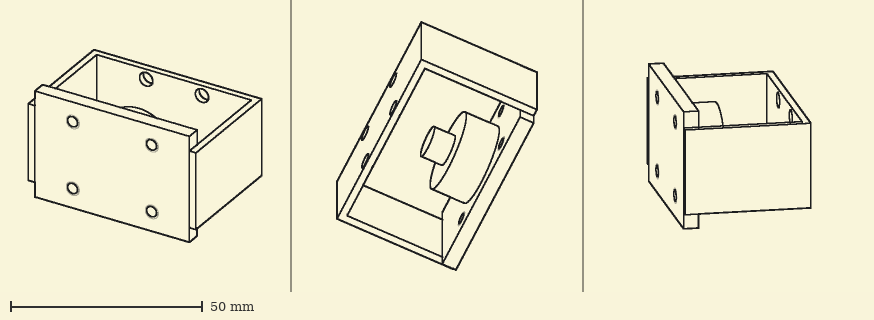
import cadquery as cq

frame_length = 51.0
frame_depth = 33.5
frame_height = 23.0
wall = 2.0
plate_height = 31.75
plate_thickness = 4.0
plate_length = frame_length - 2 * wall

rear_hole_diameter = 4.0
rear_hole_spacing = 17.0

plate_hole_spacing_x = 24.0
plate_hole_spacing_z = 20.0
plate_hole_diameter = 3.0
sleeve_diameter = 4.0

boss_diameter = 22.0
boss_length = 9.55
spigot_diameter = 8.5
spigot_length = 5.95

front_y = -frame_depth / 2
rear_y = frame_depth / 2
plate_inner_y = front_y + plate_thickness


def cylinder_along_y(diameter, length, start_y, x=0.0, z=0.0):
    """Cylinder running towards +Y from start_y."""
    return cq.Workplane(cq.Solid.makeCylinder(
        diameter / 2, length, cq.Vector(x, start_y, z), cq.Vector(0, 1, 0)))


def corner_points(spacing_x, spacing_z):
    """The four (x, z) corners of a rectangle centred on the Y axis."""
    return [(sx * spacing_x / 2, sz * spacing_z / 2) for sx in (-1, 1) for sz in (-1, 1)]


def make_frame():
    """U-shaped frame, open at the front, top and bottom."""
    frame = cq.Workplane().box(frame_length, frame_depth, frame_height)
    opening = cq.Workplane().box(plate_length, frame_depth, frame_height).translate((0, -wall, 0))
    frame = frame.cut(opening)
    for x, z in corner_points(rear_hole_spacing, rear_hole_spacing):
        frame = frame.cut(cylinder_along_y(rear_hole_diameter, wall, rear_y - wall, x, z))
    return frame


def make_plate():
    """Front plate with its boss, spigot and four sleeved holes."""
    plate_centre_y = front_y + plate_thickness / 2
    plate = cq.Workplane().box(plate_length, plate_thickness, plate_height).translate((0, plate_centre_y, 0))
    boss = cylinder_along_y(boss_diameter, boss_length, plate_inner_y)
    plate = plate.union(boss)
    plate = plate.union(cylinder_along_y(spigot_diameter, spigot_length, plate_inner_y + boss_length))
    for x, z in corner_points(plate_hole_spacing_x, plate_hole_spacing_z):
        seat = cylinder_along_y(sleeve_diameter, plate_thickness, front_y, x, z)
        bore = cylinder_along_y(plate_hole_diameter, plate_thickness, front_y, x, z)
        plate = plate.cut(seat, clean=False).union(seat.cut(bore), clean=False)
    return plate


frame = make_frame()
plate = make_plate()
result = cq.Compound.makeCompound([frame.val(), plate.val()])